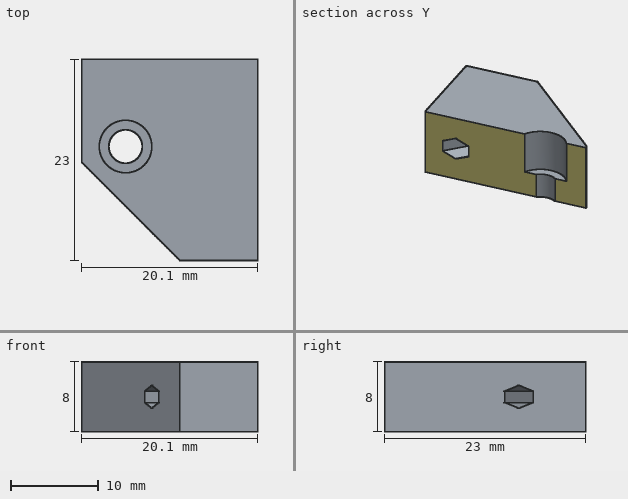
import cadquery as cq
import math

width = 20.12
length = 23.0
thickness = 8.0
corner_cut = 11.22

hole_x = 5.01
hole_y = 13.02
bore_diameter = 3.8
counterbore_diameter = 6.0
counterbore_depth = 5.0

hex_across_flats = 2.28
hex_x = 8.0

through_length = width + length


def make_plate():
    return (
        cq.Workplane("XY")
        .moveTo(corner_cut, 0)
        .lineTo(width, 0)
        .lineTo(width, length)
        .lineTo(0, length)
        .lineTo(0, corner_cut)
        .close()
        .extrude(thickness)
    )


def cut_counterbored_hole(body):
    return (
        body.faces(">Z")
        .workplane(origin=(hole_x, hole_y, thickness))
        .cboreHole(bore_diameter, counterbore_diameter, counterbore_depth)
    )


def make_hex_passage():
    entry_plane = cq.Plane(
        origin=(hex_x, corner_cut - hex_x, thickness / 2),
        xDir=(0, 0, 1),
        normal=(1, 1, 0),
    )
    across_corners = hex_across_flats / math.cos(math.pi / 6)
    return cq.Workplane(entry_plane).polygon(6, across_corners).extrude(through_length)


result = cut_counterbored_hole(make_plate()).cut(make_hex_passage())